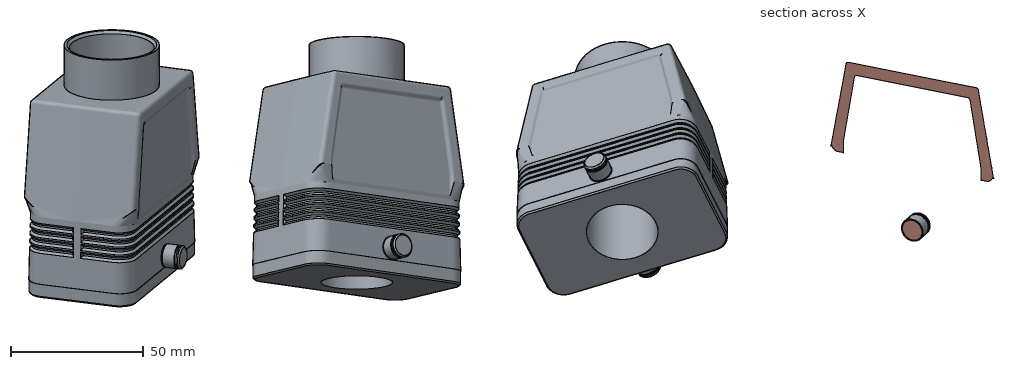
import cadquery as cq

total_height = 91.25
shoulder_z = 75.25
waist_z = 32.0
hood_side_z = 38.7
hood_shoulder_z = 35.6

base_x, base_y = 43.4, 73.0
rim_height = 5.4
rim_setback = 0.1
rim_chamfer = 0.6
corner_radius = 7.0
waist_x, waist_y = 42.4, 72.0

hood_x = 45.0
hood_y_top = 56.6
hood_roof_drop = 0.35
hood_shoulder_x = 37.0
hood_edge_radius = 1.5
transition_y = 68.6

groove_count = 4
groove_pitch = 3.1
groove_top_z = 29.5
groove_depth = 0.9
groove_flank = 0.9
groove_floor = 0.7
groove_rib_width = 3.0

panel_depth = 1.05
panel_top_z = 70.2
panel_knee_z = 41.4
panel_bottom_z = 32.0
panel_y_top = 48.6
panel_y_knee = 58.2
panel_corner_radius = 1.3
panel_edge_radius = 1.0
panel_wall_angle = 45.0

neck_diameter = 36.0
neck_bore_diameter = 32.0
neck_bore_depth = 14.0
neck_chamfer = 1.0
through_bore_diameter = 27.0

peg_span = 58.0
peg_diameter = 9.0
peg_z = 10.0
peg_chamfer = 0.6
peg_root_x = 22.1
peg_root_diameter = 8.4
peg_groove_x = 26.9
peg_groove_width = 0.8
peg_groove_diameter = 8.0
peg_embed = 2.0


def rounded_section(length_x, length_y, radius):
    """Rectangle with rounded corners, centred on the origin."""
    return cq.Sketch().rect(length_x, length_y).vertices().fillet(radius)


def rounded_stack(*levels):
    """Ruled solid through rounded rectangles, each level given as z and (x, y, corner radius)."""
    sections = [
        rounded_section(*outline).moved(cq.Location(cq.Vector(0, 0, z)))
        for z, outline in levels
    ]
    return cq.Workplane("XY").placeSketch(*sections).loft(ruled=True)


base_low = (base_x, base_y, corner_radius)
base_high = (waist_x, waist_y, corner_radius)


def base_section(z, inset=0.0):
    """Drafted base outline at height z, moved inwards by inset."""
    share = (z - rim_height) / (waist_z - rim_height)
    length_x, length_y, radius = (a + share * (b - a) for a, b in zip(base_low, base_high))
    return (length_x - 2 * inset, length_y - 2 * inset, radius - inset)


def make_rim():
    """Straight rim, chamfered at the open end."""
    rim_outline = base_section(rim_height, rim_setback)
    rim = rounded_stack((0, rim_outline), (rim_height, rim_outline))
    return rim.faces("<Z").edges().chamfer(rim_chamfer)


def make_grooved_base():
    """Drafted base with trapezoidal grooves running all the way round."""
    levels = [(waist_z, base_high)]
    for index in range(groove_count):
        top_z = groove_top_z - index * groove_pitch
        floor_top_z = top_z - groove_flank
        floor_low_z = floor_top_z - groove_floor
        low_z = floor_low_z - groove_flank
        levels += [
            (top_z, base_section(top_z)),
            (floor_top_z, base_section(floor_top_z, groove_depth)),
            (floor_low_z, base_section(floor_low_z, groove_depth)),
            (low_z, base_section(low_z)),
        ]
    levels.append((rim_height, base_low))
    return rounded_stack(*reversed(levels))


def make_end_ribs():
    """Bar along Y whose 45 degree sided ends bridge the grooves in the middle of both base ends."""
    half_rib = groove_rib_width / 2
    half_y = base_y / 2
    rib_depth = 2 * groove_depth
    half_root = half_rib + rib_depth
    face_y = waist_y / 2
    root_y = face_y - rib_depth
    ribs = (
        cq.Workplane("XY", origin=(0, 0, rim_height))
        .polyline([
            (-half_root, root_y),
            (-half_rib, face_y),
            (-half_rib, half_y),
            (half_rib, half_y),
            (half_rib, face_y),
            (half_root, root_y),
            (half_root, -root_y),
            (half_rib, -face_y),
            (half_rib, -half_y),
            (-half_rib, -half_y),
            (-half_rib, -face_y),
            (-half_root, -root_y),
        ])
        .close()
        .extrude(waist_z - rim_height)
    )
    return ribs.intersect(rounded_stack((rim_height, base_low), (waist_z, base_high)))


def make_transition():
    """Flare from the rounded waist to the sharp-cornered hood."""
    hood_section = (hood_x, transition_y, hood_edge_radius)
    return rounded_stack((waist_z, base_high), (hood_side_z, hood_section))


def hood_outline(workplane, length_y):
    """Hood cross-section with the given length on the centre line."""
    half_x = hood_x / 2
    half_y = length_y / 2
    side_y = half_y - hood_roof_drop
    return workplane.polyline([
        (half_x, -side_y),
        (half_x, side_y),
        (0, half_y),
        (-half_x, side_y),
        (-half_x, -side_y),
        (0, -half_y),
    ]).close()


def make_hood():
    """Tapered hood with slightly pointed ends, narrowed to a V where it meets the waist."""
    lower = hood_outline(cq.Workplane("XY", origin=(0, 0, waist_z)), waist_y)
    hood = hood_outline(lower.workplane(offset=shoulder_z - waist_z), hood_y_top).loft(ruled=True)
    hood = hood.faces(">X or <X or >Z").edges().fillet(hood_edge_radius)
    half_x = hood_x / 2
    half_shoulder = hood_shoulder_x / 2
    envelope = (
        cq.Workplane("XZ")
        .polyline([
            (0, waist_z),
            (half_shoulder, hood_shoulder_z),
            (half_x, hood_side_z),
            (half_x, shoulder_z),
            (-half_x, shoulder_z),
            (-half_x, hood_side_z),
            (-half_shoulder, hood_shoulder_z),
        ])
        .close()
        .extrude(base_y, both=True)
    )
    return hood.intersect(envelope)


def make_panel_recess():
    """Sloping-walled recess for the +X side, running out at its lower end."""
    half_top = panel_y_top / 2
    half_knee = panel_y_knee / 2
    outline = (
        cq.Sketch()
        .polygon([
            (-half_knee, panel_bottom_z),
            (half_knee, panel_bottom_z),
            (half_knee, panel_knee_z),
            (half_top, panel_top_z),
            (-half_top, panel_top_z),
            (-half_knee, panel_knee_z),
            (-half_knee, panel_bottom_z),
        ])
        .vertices(">Y")
        .fillet(panel_corner_radius)
    )
    recess = (
        cq.Workplane("YZ", origin=(hood_x / 2, 0, 0))
        .placeSketch(outline)
        .extrude(-panel_depth, taper=panel_wall_angle)
    )
    return recess.faces("<X").edges().fillet(panel_edge_radius)


def round_panel_rims(body):
    """Round the recess rims where they lie on the straight hood sides."""
    margin = 0.1
    half_y = panel_y_knee / 2 + margin
    for side_x in (hood_x / 2, -hood_x / 2):
        rim_box = cq.selectors.BoxSelector(
            (side_x - margin, -half_y, hood_side_z + margin),
            (side_x + margin, half_y, panel_top_z + margin),
        )
        body = body.edges(rim_box).fillet(panel_edge_radius)
    return body


def make_neck():
    """Round cable neck standing on the hood."""
    neck_height = total_height - shoulder_z
    return cq.Workplane("XY", origin=(0, 0, shoulder_z)).circle(neck_diameter / 2).extrude(neck_height)


def make_bore():
    """Stepped bore through the whole part, chamfered at the mouth."""
    through_radius = through_bore_diameter / 2
    neck_radius = neck_bore_diameter / 2
    ledge_z = total_height - neck_bore_depth
    return (
        cq.Workplane("XZ")
        .polyline([
            (0, 0),
            (through_radius, 0),
            (through_radius, ledge_z),
            (neck_radius, ledge_z),
            (neck_radius, total_height - neck_chamfer),
            (neck_radius + neck_chamfer, total_height),
            (0, total_height),
        ])
        .close()
        .revolve(360, (0, 0, 0), (0, 1, 0))
    )


def make_peg():
    """Turned locking peg on the +X side, with a relieved root and a narrow groove."""
    inner_x = waist_x / 2 - peg_embed
    tip_x = peg_span / 2
    radius = peg_diameter / 2
    root_radius = peg_root_diameter / 2
    groove_radius = peg_groove_diameter / 2
    groove_end_x = peg_groove_x + peg_groove_width
    return (
        cq.Workplane("XY")
        .polyline([
            (inner_x, 0),
            (inner_x, root_radius),
            (peg_root_x, root_radius),
            (peg_root_x, radius),
            (peg_groove_x, radius),
            (peg_groove_x, groove_radius),
            (groove_end_x, groove_radius),
            (groove_end_x, radius),
            (tip_x - peg_chamfer, radius),
            (tip_x, radius - peg_chamfer),
            (tip_x, 0),
        ])
        .close()
        .revolve(360, (0, 0, 0), (1, 0, 0))
        .translate((0, 0, peg_z))
    )


base = make_rim().union(make_grooved_base()).union(make_end_ribs())
body = base.union(make_transition()).union(make_hood())
recess = make_panel_recess()
peg = make_peg()
body = round_panel_rims(body.cut(recess).cut(recess.mirror("YZ")))
body = body.union(peg).union(peg.mirror("YZ"))
result = body.union(make_neck()).cut(make_bore()).solids()